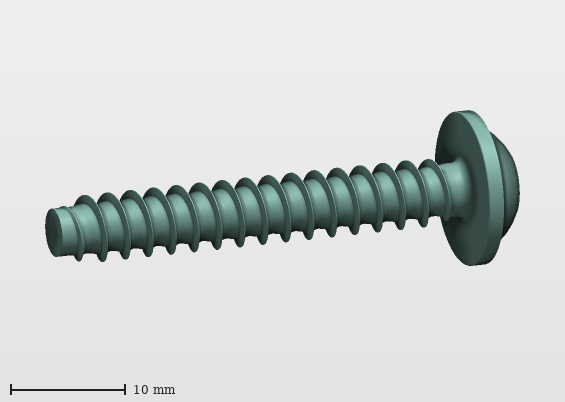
import cadquery as cq
import math

total_length = 42.2
shank_length = 38.0
head_height = total_length - shank_length
tip_dimple_depth = 0.2

flange_radius = 6.75
flange_rim_thickness = 1.35
flange_thickness = 1.45
flange_edge_fillet = 0.13
dome_sphere_radius = 6.35
head_top_radius = 3.1

neck_radius = 2.35
neck_length = 1.4
neck_taper_length = 1.25
head_fillet = 0.75
core_radius = 2.1

thread_radius = 3.0
thread_length = 36.3
thread_head_end = 1.1
full_height_turns = 15
thread_turns = full_height_turns + 2
pitch = thread_length / thread_turns
run_in_radius = 2.03
run_out_radius = 2.5

crest_half_width = 0.05
foot_radius = 2.28
head_flank_foot = 0.35
tip_flank_foot = 0.25
head_ramp_foot = 0.8
tip_ramp_foot = 1.22
ramp_sink = 0.02
ramp_foot_radius = core_radius - ramp_sink
buried_radius = 1.9


def revolve_about_y(outline):
    return outline.close().revolve(360, (0, 0, 0), (0, 1, 0))


def make_head():
    dome_centre = head_height - math.sqrt(dome_sphere_radius**2 - head_top_radius**2)

    def dome_radius_at(y):
        return math.sqrt(dome_sphere_radius**2 - (y - dome_centre) ** 2)

    dome_middle = (flange_thickness + head_height) / 2
    outline = (
        cq.Workplane("XY")
        .moveTo(0, 0)
        .lineTo(flange_radius - flange_edge_fillet, 0)
        .radiusArc((flange_radius, flange_edge_fillet), -flange_edge_fillet)
        .lineTo(flange_radius, flange_rim_thickness)
        .lineTo(dome_radius_at(flange_thickness), flange_thickness)
        .threePointArc((dome_radius_at(dome_middle), dome_middle), (head_top_radius, head_height))
        .lineTo(0, head_height)
    )
    return revolve_about_y(outline)


def make_shank():
    root_y = flange_rim_thickness / 2
    outline = (
        cq.Workplane("XY")
        .moveTo(0, root_y)
        .lineTo(neck_radius + head_fillet, root_y)
        .lineTo(neck_radius + head_fillet, 0)
        .radiusArc((neck_radius, -head_fillet), -head_fillet)
        .lineTo(neck_radius, -neck_length)
        .lineTo(core_radius, -neck_length - neck_taper_length)
        .lineTo(core_radius, -shank_length)
        .lineTo(0, tip_dimple_depth - shank_length)
    )
    return revolve_about_y(outline)


def thread_section(crest_radius):
    """(radius, axial offset) corners of the ridge, which shrinks with its crest."""
    share = (crest_radius - buried_radius) / (thread_radius - buried_radius)
    shoulder = buried_radius + share * (foot_radius - buried_radius)
    ramp = buried_radius + share * (ramp_foot_radius - buried_radius)
    return [
        (buried_radius, head_ramp_foot),
        (ramp, head_ramp_foot),
        (shoulder, head_flank_foot),
        (crest_radius, crest_half_width),
        (crest_radius, -crest_half_width),
        (shoulder, -tip_flank_foot),
        (ramp, -tip_ramp_foot),
        (buried_radius, -tip_ramp_foot),
    ]


def spiral_turn(start, end):
    """One right-handed turn of spiral edge about Z between two (radius, height) points."""
    radius_gain = end[0] - start[0]
    rise = end[1] - start[1]
    if math.isclose(start[0], end[0]):
        wire = cq.Wire.makeHelix(rise, rise, start[0])
    else:
        slant = math.hypot(radius_gain, rise)
        cone_angle = math.degrees(math.atan2(radius_gain, rise))
        wire = cq.Wire.makeHelix(slant, slant, start[0], angle=cone_angle)
    return wire.Edges()[0].translate(cq.Vector(0, 0, start[1]))


def make_ridge():
    """Thread ridge about Z, winding up from the +X side at Z = 0."""
    crest_radii = [run_in_radius] + [thread_radius] * (full_height_turns + 1) + [run_out_radius]
    sections = [
        [(radius, turn * pitch + offset) for radius, offset in thread_section(crest_radius)]
        for turn, crest_radius in enumerate(crest_radii)
    ]
    turns = []
    for lower, upper in zip(sections, sections[1:]):
        turns.append([spiral_turn(start, end) for start, end in zip(lower, upper)])

    faces = []
    for edges in turns:
        faces += [cq.Face.makeRuledSurface(edges[i - 1], edges[i]) for i in range(len(edges))]
    for edges, end in ((turns[0], 0), (turns[-1], 1)):
        corners = [edge.positionAt(end) for edge in edges]
        faces.append(cq.Face.makeFromWires(cq.Wire.makePolygon(corners, close=True)))
    return cq.Workplane("XY").newObject([cq.Solid.makeSolid(cq.Shell.makeShell(faces))])


def make_thread():
    thread = make_ridge().rotate((0, 0, 0), (0, 0, 1), 180).rotate((0, 0, 0), (1, 0, 0), -90)
    return thread.translate((0, -thread_head_end - thread_length, 0))


def make_threaded_zone():
    """Space between the plain neck and the tip, which trims both thread ends flat."""
    zone_length = shank_length - neck_length
    return cq.Workplane("XZ").workplane(offset=neck_length).circle(flange_radius).extrude(zone_length)


thread = make_thread().intersect(make_threaded_zone())
result = make_shank().union(make_head()).union(thread)